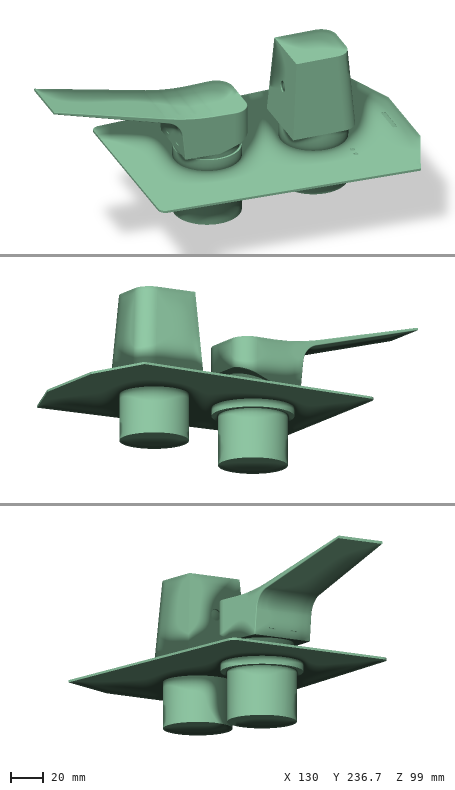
import cadquery as cq
import math


overall_length = 236.7

plate_thickness = 1.5
plate_back_y = 129.7
plate_front_y = -53.3
plate_shoulder_y = 114.5
plate_back_half_width = 26.5
plate_shoulder_half_width = 130.0 / 2
plate_front_half_width = 57.8
plate_corner_radius = 4.7

mark_depth = 0.2
label_length = 20.0
label_width = 2.8
label_y = 119.5
dot_diameter = 3.0
dot_y = 84.7
dot_x_positions = (-30.3, 27.0, 33.1)

sleeve_radius = 21.3
knob_axis_y = 69.8
knob_base_z = 11.1
knob_sleeve_bottom_z = -30.3
lever_sleeve_top_z = 7.5
lever_sleeve_bottom_z = -37.5

collar_radius = 25.3
collar_height = 5.0

knob_top_z = 61.5
knob_base_width = 43.8
knob_top_width = 36.7
knob_corner_radius = 10.0

button_radius = 3.5
button_depth = 2.0
button_recess = 0.5
button_dome_height = 0.7
button_z = 37.2

ball_radius = 20.0

lever_base_z = knob_base_z
lever_top_z = 37.9
lever_back_y = 21.3
lever_back_bottom_z = 19.2
lever_bevel_end_y = 0.2
lever_front_bottom_y = -22.2
lever_front_top_y = -24.9
lever_throat_z = 35.7
lever_throat_radius = 12.8
lever_bend_start_y = -3.0
lever_bend_end_y = -34.0
lever_tip_y = plate_back_y - overall_length
lever_tip_thickness = 1.7
handle_slope = 13.5

lever_back_half_width = 22.5
lever_tip_half_width = 16.3
lever_corner_radius = 11.0
lever_edge_radius = 0.5

slot_length = 5.0
slot_height = 0.7
slot_depth = 0.5
slot_spacing = 15.6
slot_z = 15.9


def cylinder(radius, bottom_z, top_z, axis_y):
    return cq.Workplane("XY", (0, axis_y, bottom_z)).circle(radius).extrude(top_z - bottom_z)


def make_plate():
    right_half = [
        (plate_back_half_width, plate_back_y),
        (plate_shoulder_half_width, plate_shoulder_y),
        (plate_front_half_width, plate_front_y),
    ]
    left_half = [(-x, y) for x, y in reversed(right_half)]
    plate = cq.Workplane("XY").polyline(right_half + left_half).close().extrude(-plate_thickness)
    plate = plate.edges("|Z").edges("<Y").fillet(plate_corner_radius)

    label = cq.Workplane("XY").center(0, label_y).rect(label_length, label_width).extrude(-mark_depth)
    dot_places = [(x, dot_y) for x in dot_x_positions]
    dots = cq.Workplane("XY").pushPoints(dot_places).circle(dot_diameter / 2).extrude(-mark_depth)
    plate = plate.cut(label).cut(dots)
    for axis_y in (0, knob_axis_y):
        plate = plate.cut(cylinder(sleeve_radius, -plate_thickness, 0, axis_y))
    return plate


def make_collar():
    return (
        cq.Workplane("XY", (0, 0, -plate_thickness))
        .circle(collar_radius)
        .circle(sleeve_radius)
        .extrude(-collar_height)
    )


def knob_face_plane():
    """Plane on the sloping front face of the knob, centred on the button, facing out."""
    knob_height = knob_top_z - knob_base_z
    slope = (knob_base_width - knob_top_width) / 2 / knob_height
    face_y = knob_axis_y - knob_base_width / 2 + slope * (button_z - knob_base_z)
    return cq.Plane(origin=(0, face_y, button_z), xDir=(1, 0, 0), normal=(0, -1, slope))


def make_knob():
    knob_height = knob_top_z - knob_base_z
    knob_draft = math.degrees(math.atan((knob_base_width - knob_top_width) / 2 / knob_height))
    knob = (
        cq.Workplane("XY", (0, knob_axis_y, knob_base_z))
        .rect(knob_base_width, knob_base_width)
        .extrude(knob_height, taper=knob_draft)
    )
    knob = knob.faces(">Y").edges("not #Z").fillet(knob_corner_radius)
    pocket = cq.Workplane(knob_face_plane()).circle(button_radius).extrude(-button_depth)
    return knob.cut(pocket)


def make_button():
    """Round button that fills the pocket in the knob, with its dome set below the knob face."""
    face = knob_face_plane()
    section_plane = cq.Plane(origin=face.origin, xDir=face.zDir.cross(face.xDir), normal=face.xDir)
    rim = -button_recess - button_dome_height
    dome_radius = (button_radius**2 + button_dome_height**2) / (2 * button_dome_height)
    mid_radius = button_radius / 2
    mid_drop = dome_radius - math.sqrt(dome_radius**2 - mid_radius**2)
    return (
        cq.Workplane(section_plane)
        .moveTo(0, -button_depth)
        .lineTo(button_radius, -button_depth)
        .lineTo(button_radius, rim)
        .threePointArc((mid_radius, -button_recess - mid_drop), (0, -button_recess))
        .close()
        .revolve(360, (0, 0, 0), (0, 1, 0))
    )


def make_ball():
    """Half ball standing on the lever sleeve."""
    ball = cq.Workplane("XY").sphere(ball_radius, angle1=0)
    return ball.translate((0, 0, lever_sleeve_top_z))


def lever_profile():
    """Side profile of the lever with its rounded throat, as wide as the back of the lever."""
    slope = math.radians(handle_slope)
    bend_run = lever_bend_start_y - lever_bend_end_y
    bend_radius = bend_run / math.sin(slope)
    bend_end_z = lever_top_z + bend_radius * (1 - math.cos(slope))
    bend_middle = (
        lever_bend_start_y - bend_radius * math.sin(slope / 2),
        lever_top_z + bend_radius * (1 - math.cos(slope / 2)),
    )
    tip_top_z = bend_end_z + (lever_bend_end_y - lever_tip_y) * math.tan(slope)
    return (
        cq.Workplane("YZ")
        .moveTo(lever_back_y, lever_top_z)
        .lineTo(lever_bend_start_y, lever_top_z)
        .threePointArc(bend_middle, (lever_bend_end_y, bend_end_z))
        .lineTo(lever_tip_y, tip_top_z)
        .lineTo(lever_tip_y, tip_top_z - lever_tip_thickness)
        .lineTo(lever_front_top_y, lever_throat_z)
        .lineTo(lever_front_bottom_y, lever_base_z)
        .lineTo(lever_bevel_end_y, lever_base_z)
        .lineTo(lever_back_y, lever_back_bottom_z)
        .close()
        .extrude(lever_back_half_width, both=True)
        .edges(cq.selectors.NearestToPointSelector((0, lever_front_top_y, lever_throat_z)))
        .fillet(lever_throat_radius)
    )


def lever_plan():
    """Tapering plan outline of the lever, tall enough to contain the whole side profile."""
    outline = [
        (lever_back_half_width, lever_back_y),
        (lever_tip_half_width, lever_tip_y),
        (-lever_tip_half_width, lever_tip_y),
        (-lever_back_half_width, lever_back_y),
    ]
    plan = cq.Workplane("XY").polyline(outline).close().extrude(knob_top_z)
    return plan.edges("|Z").edges(">Y").fillet(lever_corner_radius)


def is_rounded_edge(edge):
    """True for the long edges of the two side faces that lie above the underside of the lever."""
    box = edge.BoundingBox()
    runs_along_side = box.ylen > lever_edge_radius
    return runs_along_side and box.zmax > lever_back_bottom_z + lever_edge_radius


def make_lever(ball):
    """Lever with rounded long edges, a socket for the ball and two slots in its front face."""
    body = lever_profile().intersect(lever_plan())
    lever = body.edges().filter(is_rounded_edge).fillet(lever_edge_radius).cut(ball)
    rise = (slot_z - lever_base_z) / (lever_throat_z - lever_base_z)
    face_y = lever_front_bottom_y + rise * (lever_front_top_y - lever_front_bottom_y)
    for side in (-1, 1):
        slot = cq.Workplane("XY").box(slot_length, 2 * slot_depth, slot_height)
        lever = lever.cut(slot.translate((side * slot_spacing / 2, face_y, slot_z)))
    return lever


plate = make_plate()
collar = make_collar()
knob_sleeve = cylinder(sleeve_radius, knob_sleeve_bottom_z, knob_base_z, knob_axis_y)
lever_sleeve = cylinder(sleeve_radius, lever_sleeve_bottom_z, lever_sleeve_top_z, 0)
knob = make_knob()
button = make_button()
ball = make_ball()
lever = make_lever(ball)

result = cq.Compound.makeCompound(
    [
        plate.val(),
        collar.val(),
        knob_sleeve.val(),
        lever_sleeve.val(),
        knob.val(),
        button.val(),
        ball.val(),
        lever.val(),
    ]
)